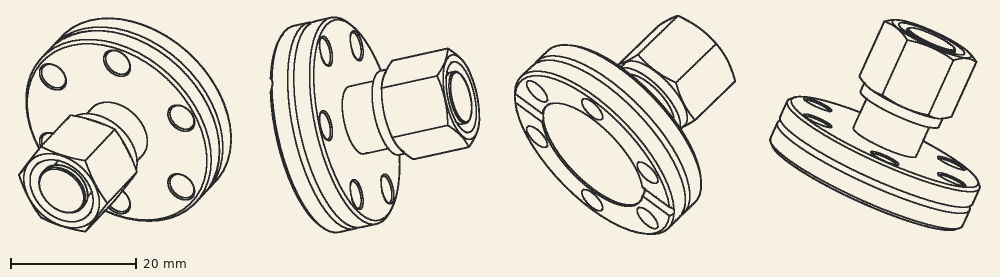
import cadquery as cq
import math

flange_diameter = 33.8
flange_radius = flange_diameter / 2
flange_thickness = 7.65
rim_chamfer = 0.5
groove_width = 1.08
groove_depth = 0.25

bolt_count = 6
bolt_circle_radius = 13.52
bolt_hole_diameter = 4.4
bolt_hole_chamfer = 0.25

recess_diameter = 21.4
recess_depth = 0.35
notch_diameter = 3.25
notch_depth = 0.6

total_length = 26.03
tube_diameter = 11.05
tip_diameter = 8.5
tip_length = 1.18
tip_chamfer = 0.2
neck_diameter = 7.35

nut_across_flats = 14.0
nut_length = 10.8
collar_diameter = 13.8
collar_length = 1.7
bevel_length = 0.5
nut_bore_diameter = 11.53

nut_back = total_length - nut_length
collar_back = nut_back - collar_length
tip_start = total_length - tip_length


def cylinder(diameter, start, end):
    """Cylinder on the main axis between two distances in front of the back face."""
    return cq.Workplane("XZ").workplane(offset=start).circle(diameter / 2).extrude(end - start)


def make_rim_groove():
    """Ring with an arc-shaped section that cuts a shallow round groove in the flange rim."""
    middle = -flange_thickness / 2
    half_width = groove_width / 2
    outside = flange_radius + groove_depth
    return (
        cq.Workplane("XY")
        .moveTo(outside, middle - half_width)
        .lineTo(flange_radius, middle - half_width)
        .threePointArc((flange_radius - groove_depth, middle), (flange_radius, middle + half_width))
        .lineTo(outside, middle + half_width)
        .close()
        .revolve(360, (0, 0, 0), (0, 1, 0))
    )


def make_bolt_holes():
    """Through holes with a chamfered mouth on the front face."""
    mouth_radius = bolt_hole_diameter / 2 + bolt_hole_chamfer
    cone = cq.Solid.makeCone(
        mouth_radius,
        bolt_hole_diameter / 2,
        bolt_hole_chamfer,
        pnt=cq.Vector(0, -flange_thickness, 0),
        dir=cq.Vector(0, 1, 0),
    )
    hole = cylinder(bolt_hole_diameter, 0, flange_thickness).union(cq.Workplane(cone))
    hole = hole.translate((0, 0, bolt_circle_radius))
    holes = cq.Workplane()
    for index in range(bolt_count):
        holes = holes.add(hole.rotate((0, 0, 0), (0, 1, 0), index * 360 / bolt_count))
    return holes.combine()


def make_leak_notches():
    """Round-bottomed channels along X, from the rim to the recess on both sides."""
    channel = (
        cq.Workplane("YZ")
        .center(notch_diameter / 2 - notch_depth, 0)
        .circle(notch_diameter / 2)
        .extrude(flange_radius, both=True)
    )
    return channel.cut(cylinder(recess_diameter, -notch_diameter, notch_diameter))


def make_flange():
    """Flange with its tube, neck and tip."""
    disc = cylinder(flange_diameter, 0, flange_thickness).edges().chamfer(rim_chamfer)
    disc = disc.cut(make_rim_groove())
    disc = disc.cut(make_bolt_holes())
    disc = disc.cut(cylinder(recess_diameter, 0, recess_depth))
    disc = disc.cut(make_leak_notches())
    tube = cylinder(tube_diameter, flange_thickness, nut_back)
    neck = cylinder(neck_diameter, nut_back, tip_start)
    tip = cylinder(tip_diameter, tip_start, total_length).edges().chamfer(tip_chamfer)
    return disc.union(tube).union(neck).union(tip)


def make_nut():
    """Hexagonal nut with a slightly wider bore than the collar, whose bore fits the tube."""
    across_corners = nut_across_flats / math.cos(math.pi / 6)
    hexagon = (
        cq.Workplane("XZ").workplane(offset=nut_back).polygon(6, across_corners).extrude(nut_length)
    )
    corner_bevel = (across_corners - collar_diameter) / 2
    bevelled_round = (
        cylinder(across_corners, nut_back, total_length).edges().chamfer(bevel_length, corner_bevel)
    )
    nut = hexagon.intersect(bevelled_round).union(cylinder(collar_diameter, collar_back, nut_back))
    nut = nut.cut(cylinder(tube_diameter, collar_back, nut_back))
    return nut.cut(cylinder(nut_bore_diameter, nut_back, total_length))


flange = make_flange()
nut = make_nut()

result = cq.Compound.makeCompound([flange.val(), nut.val()])